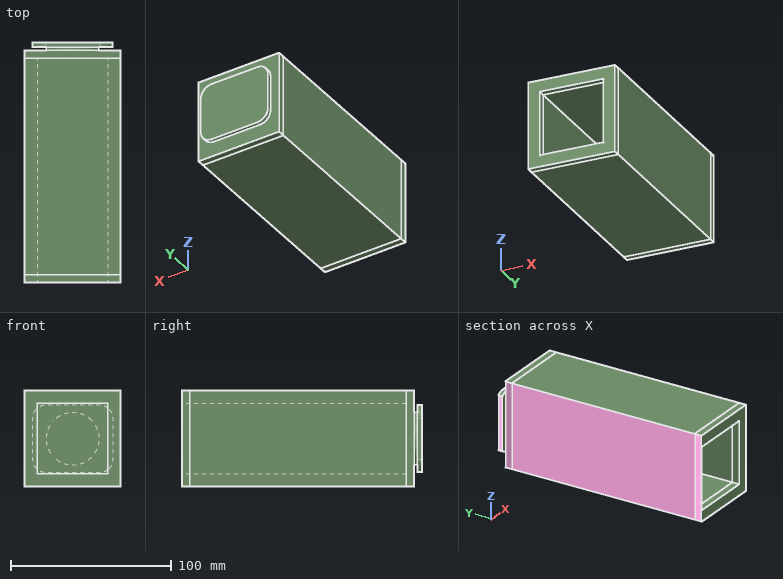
import cadquery as cq

HOUSING_SIDE = 60.0
WALL = 8.0
OPENING_SIDE = HOUSING_SIDE - 2 * WALL
END_THICKNESS = 5.0
TUBE_LENGTH = 135.0

NECK_DIAMETER = 33.0
NECK_LENGTH = 2.0
FLANGE_WIDTH = 50.0
FLANGE_HEIGHT = 42.0
FLANGE_CORNER_RADIUS = 8.0
FLANGE_THICKNESS = 3.0

TUBE_START = END_THICKNESS
PLATE_START = TUBE_START + TUBE_LENGTH
NECK_START = PLATE_START + END_THICKNESS
FLANGE_START = NECK_START + NECK_LENGTH


def section_at(y):
    """Workplane across the housing axis at y, with its normal along +Y."""
    return cq.Workplane(cq.Plane(origin=(0, y, 0), xDir=(-1, 0, 0), normal=(0, 1, 0)))


def make_square_ring(start, length):
    """Square ring around the housing opening."""
    return (
        section_at(start)
        .rect(HOUSING_SIDE, HOUSING_SIDE)
        .rect(OPENING_SIDE, OPENING_SIDE)
        .extrude(length)
    )


def make_end_plate():
    """Solid plate that closes the far end of the tube."""
    return section_at(PLATE_START).rect(HOUSING_SIDE, HOUSING_SIDE).extrude(END_THICKNESS)


def make_mount():
    """Neck and flange in one piece, seated on the outside of the end plate."""
    neck = section_at(NECK_START).circle(NECK_DIAMETER / 2).extrude(NECK_LENGTH)
    flange = (
        section_at(FLANGE_START)
        .rect(FLANGE_WIDTH, FLANGE_HEIGHT)
        .extrude(FLANGE_THICKNESS)
        .edges("|Y")
        .fillet(FLANGE_CORNER_RADIUS)
    )
    return neck.union(flange)


open_frame = make_square_ring(0, END_THICKNESS)
tube = make_square_ring(TUBE_START, TUBE_LENGTH)
end_plate = make_end_plate()
mount = make_mount()

result = cq.Compound.makeCompound([open_frame.val(), tube.val(), end_plate.val(), mount.val()])